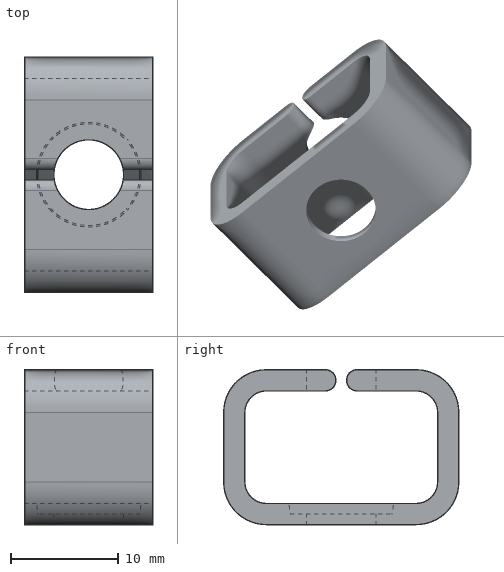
import cadquery as cq

length_x = 12.0
width_y = 22.0
height_z = 14.5

wall = 2.0
outer_radius = 2 * wall
inner_radius = outer_radius - wall
slot_gap = 1.0

hole_diameter = 6.5
recess_top_diameter = 9.8
recess_bottom_diameter = 9.5
recess_depth = wall / 2


def rounded_tube():
    """Rectangular tube along X, centred in X and Y, resting on Z = 0."""
    outer = (
        cq.Workplane("XY")
        .box(length_x, width_y, height_z, centered=(True, True, False))
        .edges("|X")
        .fillet(outer_radius)
    )
    inner = (
        cq.Workplane("XY", origin=(0, 0, wall))
        .box(length_x, width_y - 2 * wall, height_z - 2 * wall, centered=(True, True, False))
        .edges("|X")
        .fillet(inner_radius)
    )
    return outer.cut(inner)


def rounded_lip(side):
    """Half-round bead along X that ends the top wall on one side of the slot."""
    lip_radius = wall / 2
    lip_y = side * (slot_gap / 2 + lip_radius)
    return (
        cq.Workplane("YZ", origin=(-length_x / 2, lip_y, height_z - lip_radius))
        .circle(lip_radius)
        .extrude(length_x)
    )


def slotted_clip():
    """Tube opened along the top wall, with both free edges fully rounded."""
    opening_width = slot_gap + wall
    opening = cq.Workplane("XY", origin=(0, 0, height_z - wall)).box(
        length_x, opening_width, wall, centered=(True, True, False)
    )
    clip = rounded_tube().cut(opening)
    for side in (-1, 1):
        clip = clip.union(rounded_lip(side))
    return clip


def vertical_cylinder(diameter, bottom, height):
    return cq.Workplane("XY", origin=(0, 0, bottom)).circle(diameter / 2).extrude(height)


screw_hole = vertical_cylinder(hole_diameter, 0, height_z)
floor_recess = (
    cq.Workplane("XY", origin=(0, 0, wall - recess_depth))
    .circle(recess_bottom_diameter / 2)
    .workplane(offset=recess_depth)
    .circle(recess_top_diameter / 2)
    .loft(ruled=True)
)

result = slotted_clip().cut(screw_hole).cut(floor_recess)